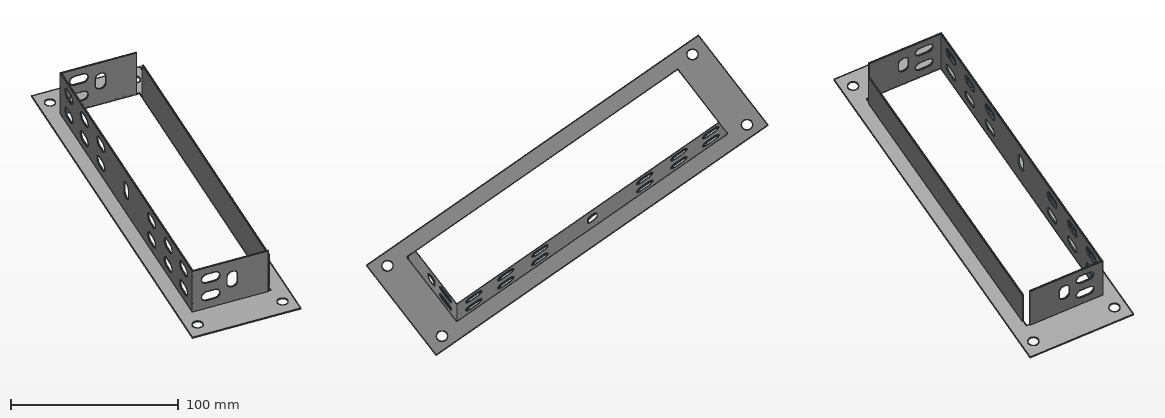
import cadquery as cq

sheet = 0.8
plate_length = 245.0
plate_width = 70.0

frame_length = 201.6
frame_width = 52.0
opening_length = frame_length - 2 * sheet
opening_width = frame_width - 2 * sheet

wall_height = 32.0
back_wall_height = 25.0
back_wall_length = 192.0
side_wall_gap = 2.7

mount_hole_diameter = 6.5
mount_hole_spacing_x = 225.2
mount_hole_spacing_y = 55.0

slot_length = 12.0
slot_width = 6.9
upright_slot_height = 18.0
front_slot_offsets = (38.7, 64.0, 87.5)
front_slot_heights = (9.3, 24.0)
side_slot_y = -14.0
side_slot_heights = (10.0, 23.5)

front_wall_y = -(frame_width - sheet) / 2
side_wall_x = (frame_length - sheet) / 2


def upright_block(length, width, height, x=0, y=0):
    """Block standing on z = 0, centred on (x, y)."""
    return cq.Workplane("XY").center(x, y).box(length, width, height, centered=(True, True, False))


def slot_cutters(plane, positions, depth, angle=0):
    """Obround bars centred on the plane, with a total length of depth."""
    return (
        cq.Workplane(plane)
        .pushPoints(positions)
        .slot2D(slot_length, slot_width, angle)
        .extrude(depth / 2, both=True)
    )


def make_plate():
    mount_holes = (
        cq.Workplane("XY")
        .rect(mount_hole_spacing_x, mount_hole_spacing_y, forConstruction=True)
        .vertices()
        .circle(mount_hole_diameter / 2)
        .extrude(sheet)
    )
    opening = upright_block(opening_length, opening_width, sheet)
    return upright_block(plate_length, plate_width, sheet).cut(opening).cut(mount_holes)


def make_front_wall():
    wall = upright_block(frame_length, sheet, wall_height, y=front_wall_y)
    level_slots = [
        (side * offset, height)
        for side in (-1, 1)
        for offset in front_slot_offsets
        for height in front_slot_heights
    ]
    plane = cq.Plane.XZ(origin=(0, front_wall_y, 0))
    wall = wall.cut(slot_cutters(plane, level_slots, 2 * sheet))
    return wall.cut(slot_cutters(plane, [(0, upright_slot_height)], 2 * sheet, angle=90))


def make_back_wall():
    return upright_block(back_wall_length, sheet, back_wall_height, y=-front_wall_y)


def make_side_walls():
    """Both end walls; the slots run through the pair."""
    wall_length = frame_width - side_wall_gap
    walls = upright_block(sheet, wall_length, wall_height, x=-side_wall_x, y=-side_wall_gap / 2)
    walls = walls.union(walls.mirror("YZ"))
    level_slots = [(side_slot_y, height) for height in side_slot_heights]
    through_both = frame_length + 2 * sheet
    walls = walls.cut(slot_cutters("YZ", level_slots, through_both))
    return walls.cut(slot_cutters("YZ", [(0, upright_slot_height)], through_both, angle=90))


result = (
    make_plate()
    .union(make_front_wall())
    .union(make_back_wall())
    .union(make_side_walls())
)